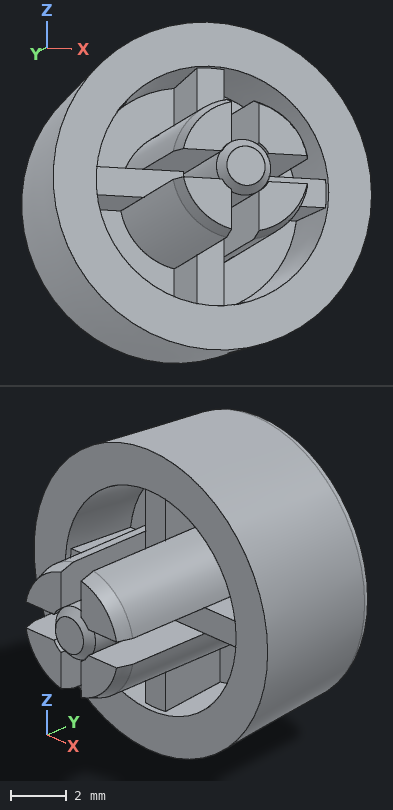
import cadquery as cq
import math

cap_radius = 6.0
cap_height = 5.8
draft_angle = math.radians(5)
top_edge_radius = 0.48

cavity_radius = 4.38
cavity_depth = 3.0

stem_radius = 2.58
stem_length = 4.02
stem_chamfer_length = 0.62
stem_chamfer_width = 0.19

rib_width = 1.03
rib_recess = 0.24

pin_radius = 1.02
pin_tip_radius = 0.72
pin_tip_length = 0.31
pin_protrusion = 4.1


def drafted(radius, distance):
    """Radius of a drafted wall at a distance behind the mouth."""
    return radius - distance * math.tan(draft_angle)


def revolve_about_y(outline):
    """Revolve a closed outline of (radius, y) points about the Y axis."""
    return cq.Workplane("XY").polyline(outline).close().revolve(360, (0, 0, 0), (0, 1, 0))


def centered_box(x_size, z_size, y_start, y_end):
    """Box centered on the Y axis, between two Y positions."""
    return (
        cq.Workplane("XY")
        .box(x_size, y_end - y_start, z_size)
        .translate((0, (y_start + y_end) / 2, 0))
    )


def make_shell():
    """Drafted round cap with a rounded closed end and a drafted cavity."""
    outer = revolve_about_y([
        (0, 0),
        (cap_radius, 0),
        (drafted(cap_radius, cap_height), cap_height),
        (0, cap_height),
    ])
    outer = outer.faces(">Y").edges().fillet(top_edge_radius)
    return outer.cut(make_cavity())


def make_cavity():
    return revolve_about_y([
        (0, 0),
        (cavity_radius, 0),
        (drafted(cavity_radius, cavity_depth), cavity_depth),
        (0, cavity_depth),
    ])


def make_stem():
    """Chamfered stem, bored for the pin and split into four by crossed slots."""
    stem = revolve_about_y([
        (0, cavity_depth),
        (stem_radius, cavity_depth),
        (stem_radius, stem_chamfer_length - stem_length),
        (stem_radius - stem_chamfer_width, -stem_length),
        (0, -stem_length),
    ])
    bore = revolve_about_y([
        (0, cavity_depth),
        (pin_radius, cavity_depth),
        (pin_radius, -stem_length),
        (0, -stem_length),
    ])
    slot_length = 2 * stem_radius
    stem = stem.cut(bore)
    stem = stem.cut(centered_box(slot_length, rib_width, -stem_length, cavity_depth))
    return stem.cut(centered_box(rib_width, slot_length, -stem_length, cavity_depth))


def make_ribs():
    """Crossed ribs from the cavity wall to flat ends that touch the pin."""
    rib_span = 2 * cavity_radius
    ribs = centered_box(rib_span, rib_width, rib_recess, cavity_depth)
    ribs = ribs.union(centered_box(rib_width, rib_span, rib_recess, cavity_depth))
    pin_space = centered_box(2 * pin_radius, 2 * pin_radius, rib_recess, cavity_depth)
    return ribs.cut(pin_space).intersect(make_cavity())


def make_cap():
    return make_shell().union(make_ribs()).union(make_stem())


def make_pin():
    """Round pin standing on the cavity floor, with a conical tip."""
    tip_y = -pin_protrusion
    return revolve_about_y([
        (0, cavity_depth),
        (pin_radius, cavity_depth),
        (pin_radius, tip_y + pin_tip_length),
        (pin_tip_radius, tip_y),
        (0, tip_y),
    ])


cap = make_cap()
pin = make_pin()
result = cq.Compound.makeCompound([cap.val(), pin.val()])